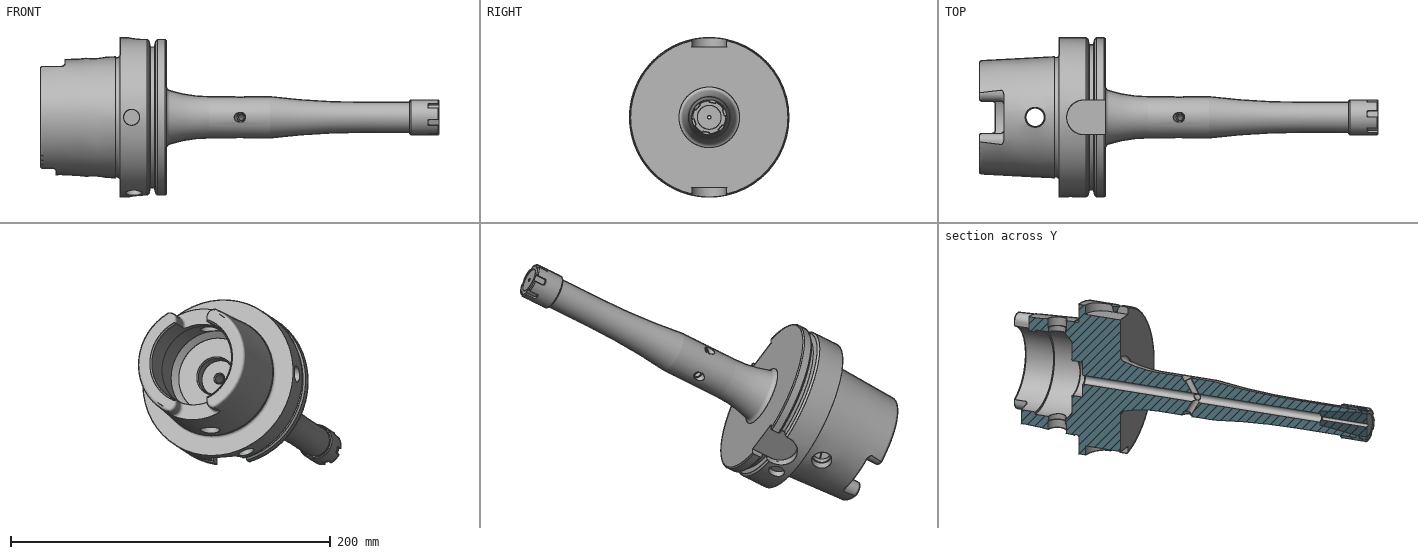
import cadquery as cq
import math


SHANK_END_X = -50.0
FLANGE_END_X = 29.0
FLARE_START_X = 31.2
STEM_START_X = 55.7
TAPER_START_X = 94.0
TAPER_END_X = 151.2
NUT_START_X = 181.5
NUT_END_X = 200.0
NOSE_END_X = 192.5

SHANK_END_R = 35.5
SHANK_BASE_R = 38.0
SHANK_EDGE_FILLET = 1.7
NECK_START_X = -3.0
NECK_R = 37.5
NECK_FILLET = 1.7

CAVITY_R = 26.5
MOUTH_CHAMFER = 1.0
UNDERCUT_R = 28.0
UNDERCUT_START_DEPTH = 20.0
CAVITY_FLOOR_R = 24.2
CAVITY_DEPTH = 45.0
TUBE_SEAT_R = 11.5
TUBE_SEAT_CHAMFER = 0.7
TUBE_SEAT_DEPTH = 7.5
COOLANT_BORE_R = 2.7
COOLANT_CHAMFER = 0.7

DRIVE_SLOT_HALF_WIDTH = 10.0
DRIVE_SLOT_FLARE_R = 5.0
DRIVE_SLOT_TOP_Z = 32.0
DRIVE_SLOT_FLOOR_FILLET = 2.0
UPPER_SLOT_DEPTH = 15.5
LOWER_SLOT_DEPTH = 10.0

ACCESS_X = -15.0
ACCESS_R = 5.7
ACCESS_MOUTH_R = 6.2
ACCESS_STEP_Z = 31.2

FLANGE_R = 50.0
FLANGE_CHAMFER = 0.7
GROOVE_X = 20.2
GROOVE_R = 45.5
GROOVE_FLOOR_WIDTH = 2.5
GROOVE_WIDTH = 4.0
GROOVE_LIP = 1.2
KEYWAY_START_X = 4.7
KEYWAY_WIDTH = 21.7
KEYWAY_FLOOR_Z = 44.0
CHIP_HOLE_R = 5.0
CHIP_HOLE_DEPTH = 4.0
SIDE_CHIP_X = 7.2
LOWER_CHIP_X = 8.5
LOWER_CHIP_ANGLE = -71.5

FLARE_R = 16.7
FLARE_ROOT_R = 19.0
STEM_R = 13.0
NOSE_R = 9.5
STEM_HOLE_X = 75.0
STEM_HOLE_R = 2.0
STEM_HOLE_MOUTH_R = 3.0
STEM_HOLE_MOUTH_DEPTH = 2.0
STEM_HOLE_TILT = 30.0

COLLET_START_X = 167.5
COLLET_BACK_R = 4.5
COLLET_FRONT_R = 7.5
COLLET_BORE_R = 1.0
COLLET_COUNTERSINK = 1.0

NUT_R = 11.0
NUT_CHAMFER = 0.7
NUT_SLOT_COUNT = 6
NUT_SLOT_ANGLE = 42.0
NUT_SLOT_WIDTH = 4.0
NUT_SLOT_LENGTH = 7.0
NUT_SLOT_DEPTH = 1.7
NUT_SLOT_CORNER = 1.0


def revolve_about_x(outline):
    """Spin a closed (x, radius) outline about the X axis."""
    return outline.close().revolve(360, (0, 0, 0), (1, 0, 0))


def cylinder_x(start_x, end_x, radius):
    return cq.Workplane("YZ", origin=(start_x, 0, 0)).circle(radius).extrude(end_x - start_x)


def radial_hole(x, angle, surface_r, radius, depth):
    """Cutter for a radial hole; the angle runs from -Y towards +Z."""
    outward = cq.Vector(0, -math.cos(math.radians(angle)), math.sin(math.radians(angle)))
    bottom = outward * (surface_r - depth) + cq.Vector(x, 0, 0)
    return cq.Workplane(cq.Plane(bottom, (1, 0, 0), outward)).circle(radius).extrude(2 * depth)


def concave_arc_middle(length, rise):
    """Height at mid-length of an arc that leaves the axis direction and climbs by rise."""
    arc_r = (length ** 2 + rise ** 2) / (2 * rise)
    return arc_r - math.sqrt(arc_r ** 2 - (length / 2) ** 2)


def shank():
    outline = (
        cq.Workplane("XY")
        .moveTo(SHANK_END_X, 0)
        .lineTo(SHANK_END_X, SHANK_END_R)
        .lineTo(NECK_START_X, SHANK_BASE_R)
        .lineTo(NECK_START_X, NECK_R)
        .lineTo(-NECK_FILLET, NECK_R)
        .tangentArcPoint((0, NECK_R + NECK_FILLET), relative=False)
        .lineTo(0, 0)
    )
    return revolve_about_x(outline)


def cavity():
    undercut_x = SHANK_END_X + UNDERCUT_START_DEPTH
    floor_x = SHANK_END_X + CAVITY_DEPTH
    seat_floor_x = floor_x + TUBE_SEAT_DEPTH
    outline = (
        cq.Workplane("XY")
        .moveTo(SHANK_END_X, 0)
        .lineTo(SHANK_END_X, CAVITY_R + MOUTH_CHAMFER)
        .lineTo(SHANK_END_X + MOUTH_CHAMFER, CAVITY_R)
        .lineTo(undercut_x, CAVITY_R)
        .lineTo(undercut_x, UNDERCUT_R)
        .lineTo(floor_x - (UNDERCUT_R - CAVITY_FLOOR_R), UNDERCUT_R)
        .lineTo(floor_x, CAVITY_FLOOR_R)
        .lineTo(floor_x, TUBE_SEAT_R + TUBE_SEAT_CHAMFER)
        .lineTo(floor_x + TUBE_SEAT_CHAMFER, TUBE_SEAT_R)
        .lineTo(seat_floor_x, TUBE_SEAT_R)
        .lineTo(seat_floor_x, COOLANT_BORE_R + COOLANT_CHAMFER)
        .lineTo(seat_floor_x + COOLANT_CHAMFER, COOLANT_BORE_R)
        .lineTo(seat_floor_x + COOLANT_CHAMFER, 0)
    )
    return revolve_about_x(outline)


def drive_slot(depth):
    """Cutter for the upper drive slot; its walls flare outwards in convex arcs."""
    flare_y = DRIVE_SLOT_HALF_WIDTH + DRIVE_SLOT_FLARE_R
    flare_z = DRIVE_SLOT_TOP_Z - DRIVE_SLOT_FLARE_R
    diagonal = DRIVE_SLOT_FLARE_R * math.sqrt(0.5)
    half_outline = (
        cq.Workplane("YZ", origin=(SHANK_END_X - depth, 0, 0))
        .moveTo(0, CAVITY_R / 2)
        .lineTo(DRIVE_SLOT_HALF_WIDTH, CAVITY_R / 2)
        .lineTo(DRIVE_SLOT_HALF_WIDTH, flare_z)
        .threePointArc((flare_y - diagonal, flare_z + diagonal), (flare_y, DRIVE_SLOT_TOP_Z))
        .lineTo(flare_y + DRIVE_SLOT_FLARE_R, DRIVE_SLOT_TOP_Z)
        .lineTo(flare_y + DRIVE_SLOT_FLARE_R, SHANK_BASE_R + DRIVE_SLOT_FLARE_R)
        .lineTo(0, SHANK_BASE_R + DRIVE_SLOT_FLARE_R)
    )
    slot = half_outline.mirrorY().extrude(2 * depth)
    return slot.faces(">X").edges("not >Z").fillet(DRIVE_SLOT_FLOOR_FILLET)


def access_hole():
    """Cutter for the cross hole through both shank walls, wider at its outer mouths."""
    centre_plane = cq.Workplane("XY", origin=(ACCESS_X, 0, 0))
    hole = centre_plane.circle(ACCESS_R).extrude(FLANGE_R, both=True)
    mouth = centre_plane.circle(ACCESS_MOUTH_R).extrude(FLANGE_R, both=True)
    mouth = mouth.cut(centre_plane.circle(ACCESS_MOUTH_R).extrude(ACCESS_STEP_Z, both=True))
    return hole.union(mouth)


def flange():
    groove_half = GROOVE_WIDTH / 2
    floor_half = GROOVE_FLOOR_WIDTH / 2
    lip_half = groove_half + GROOVE_LIP
    outline = (
        cq.Workplane("XY")
        .moveTo(0, 0)
        .lineTo(0, FLANGE_R)
        .lineTo(GROOVE_X - lip_half, FLANGE_R)
        .lineTo(GROOVE_X - groove_half, FLANGE_R - GROOVE_LIP)
        .lineTo(GROOVE_X - floor_half, GROOVE_R)
        .lineTo(GROOVE_X + floor_half, GROOVE_R)
        .lineTo(GROOVE_X + groove_half, FLANGE_R - GROOVE_LIP)
        .lineTo(GROOVE_X + lip_half, FLANGE_R)
        .lineTo(FLANGE_END_X - FLANGE_CHAMFER, FLANGE_R)
        .lineTo(FLANGE_END_X, FLANGE_R - FLANGE_CHAMFER)
        .lineTo(FLANGE_END_X, 0)
    )
    return revolve_about_x(outline)


def keyway():
    """Cutter for the upper flange keyway, open at the stem side and round at the shank side."""
    half_width = KEYWAY_WIDTH / 2
    return (
        cq.Workplane("XY", origin=(0, 0, KEYWAY_FLOOR_Z))
        .moveTo(FLANGE_END_X, -half_width)
        .lineTo(KEYWAY_START_X + half_width, -half_width)
        .threePointArc((KEYWAY_START_X, 0), (KEYWAY_START_X + half_width, half_width))
        .lineTo(FLANGE_END_X, half_width)
        .close()
        .extrude(FLANGE_R - KEYWAY_FLOOR_Z)
    )


def stem():
    flare_length = STEM_START_X - FLARE_START_X
    taper_length = TAPER_END_X - TAPER_START_X
    flare_middle_r = STEM_R + concave_arc_middle(flare_length, FLARE_R - STEM_R)
    taper_middle_r = NOSE_R + concave_arc_middle(taper_length, STEM_R - NOSE_R)
    outline = (
        cq.Workplane("XY")
        .moveTo(0, 0)
        .lineTo(NOSE_END_X, 0)
        .lineTo(NOSE_END_X, NOSE_R)
        .lineTo(TAPER_END_X, NOSE_R)
        .threePointArc((TAPER_END_X - taper_length / 2, taper_middle_r), (TAPER_START_X, STEM_R))
        .lineTo(STEM_START_X, STEM_R)
        .threePointArc((STEM_START_X - flare_length / 2, flare_middle_r), (FLARE_START_X, FLARE_R))
        .tangentArcPoint((FLANGE_END_X, FLARE_ROOT_R), relative=False)
        .lineTo(0, FLARE_ROOT_R)
    )
    return revolve_about_x(outline)


def stem_hole():
    """Cutter for one slanted, counterbored hole from the -Y side of the stem to the coolant bore."""
    tilt = math.radians(STEM_HOLE_TILT)
    axis_x = STEM_HOLE_X + STEM_R * math.tan(tilt)
    outward = cq.Vector(-math.sin(tilt), -math.cos(tilt), 0)
    axis_plane = cq.Workplane(cq.Plane((axis_x, 0, 0), (0, 0, 1), outward))
    hole = axis_plane.circle(STEM_HOLE_R).extrude(2 * STEM_R)
    mouth_floor = STEM_R / math.cos(tilt) - STEM_HOLE_MOUTH_DEPTH
    mouth = axis_plane.workplane(offset=mouth_floor).circle(STEM_HOLE_MOUTH_R).extrude(STEM_R)
    return hole.union(mouth)


def collet_cone():
    outline = (
        cq.Workplane("XY")
        .moveTo(COLLET_START_X, 0)
        .lineTo(COLLET_START_X, COLLET_BACK_R)
        .lineTo(NOSE_END_X, COLLET_FRONT_R)
        .lineTo(NUT_END_X, COLLET_FRONT_R)
        .lineTo(NUT_END_X, 0)
    )
    return revolve_about_x(outline)


def make_holder():
    hollow_shank = shank()
    for depth, turn in ((UPPER_SLOT_DEPTH, 0), (LOWER_SLOT_DEPTH, 180)):
        hollow_shank = hollow_shank.cut(drive_slot(depth).rotate((0, 0, 0), (1, 0, 0), turn))
    hollow_shank = hollow_shank.faces("<X").edges().fillet(SHANK_EDGE_FILLET)

    slotted_flange = flange()
    for turn in (0, 180):
        slotted_flange = slotted_flange.cut(keyway().rotate((0, 0, 0), (1, 0, 0), turn))
    for x, angle in ((SIDE_CHIP_X, 0), (LOWER_CHIP_X, LOWER_CHIP_ANGLE)):
        slotted_flange = slotted_flange.cut(radial_hole(x, angle, FLANGE_R, CHIP_HOLE_R, CHIP_HOLE_DEPTH))

    drilled_stem = stem()
    for turn in (0, 90, 180, 270):
        drilled_stem = drilled_stem.cut(stem_hole().rotate((0, 0, 0), (1, 0, 0), turn))

    return (
        hollow_shank.union(slotted_flange)
        .union(drilled_stem)
        .cut(cavity())
        .cut(access_hole())
        .cut(cylinder_x(0, COLLET_START_X, COOLANT_BORE_R))
        .cut(collet_cone())
    )


def make_collet():
    collet = collet_cone().cut(cylinder_x(COLLET_START_X, NUT_END_X, COLLET_BORE_R))
    bore_edge = collet.faces("<X").edges(cq.selectors.RadiusNthSelector(0))
    return bore_edge.chamfer(COLLET_COUNTERSINK)


def nut_slot(angle):
    """Cutter for one wrench slot in the nut's front edge; the angle runs from -Y towards +Z."""
    slot_start_x = NUT_END_X - NUT_SLOT_LENGTH
    slot = (
        cq.Workplane("XZ", origin=(0, NUT_SLOT_DEPTH - NUT_R, 0))
        .center(slot_start_x + NUT_SLOT_LENGTH, 0)
        .rect(2 * NUT_SLOT_LENGTH, NUT_SLOT_WIDTH)
        .extrude(NUT_R)
        .edges("|Y")
        .fillet(NUT_SLOT_CORNER)
    )
    return slot.rotate((0, 0, 0), (1, 0, 0), -angle)


def make_nut():
    nut = cylinder_x(NUT_START_X, NUT_END_X, NUT_R).edges().chamfer(NUT_CHAMFER)
    nut = nut.cut(cylinder_x(NUT_START_X, NOSE_END_X, NOSE_R))
    nut = nut.cut(cylinder_x(NOSE_END_X, NUT_END_X, COLLET_FRONT_R))
    for index in range(NUT_SLOT_COUNT):
        nut = nut.cut(nut_slot(NUT_SLOT_ANGLE + index * 360 / NUT_SLOT_COUNT))
    return nut


holder = make_holder()
nut = make_nut()
collet = make_collet()

result = cq.Compound.makeCompound([holder.val(), nut.val(), collet.val()])